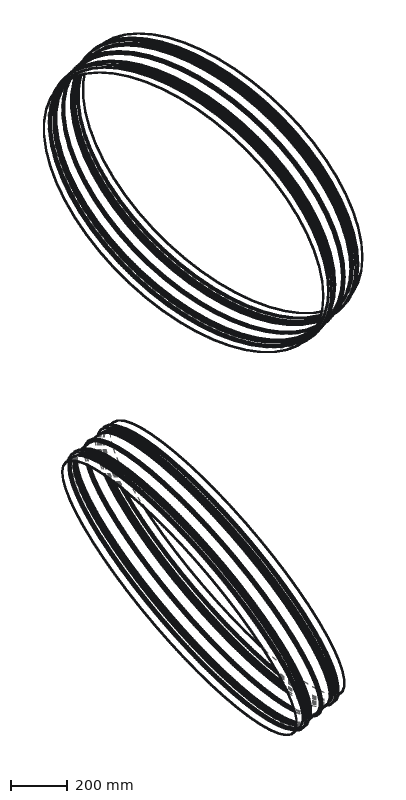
import cadquery as cq
import math

sleeve_length = 225.0
sleeve_radius = 1249.0 / 2
sheet = 0.9

bead_radius = 1263.0 / 2
bead_half_width = 5.0
bead_crown_radius = 4.0

groove_radius = 1239.0 / 2
groove_inner_y = 44.0
groove_outer_y = 84.0
groove_wall_run = 4.0
groove_floor_inner_y = groove_inner_y + groove_wall_run
groove_floor_outer_y = groove_outer_y - groove_wall_run
wall_angle = math.atan2(sleeve_radius - groove_radius, groove_wall_run)

seal_radius = 1266 / 2
seal_base_radius = 1242.0 / 2
seal_toe_radius = 1240.0 / 2
seal_inner_y = 56.0
seal_toe_length = 3.0
lip_thickness = 1.9
lip_centres_y = (62.0, 77.0)


def revolve_about_y(profile):
    """Turn a closed profile drawn with x = radius and y = axial place about the Y axis."""
    return profile.close().revolve(360, (0, 0, 0), (0, 1, 0))


def half_outline(inset):
    """Points (radius, y) from bead crown to +Y end, on the sheet face lying inset below the outer one."""
    plain_radius = sleeve_radius - inset
    floor_radius = groove_radius - inset
    wall_shift = inset * math.tan(wall_angle / 2)
    return [
        (bead_radius - bead_crown_radius, bead_crown_radius - inset),
        (plain_radius, bead_half_width - inset),
        (plain_radius, groove_inner_y - wall_shift),
        (floor_radius, groove_floor_inner_y - wall_shift),
        (floor_radius, groove_floor_outer_y + wall_shift),
        (plain_radius, groove_outer_y + wall_shift),
        (plain_radius, sleeve_length / 2),
    ]


def mirrored(points):
    """The same points on the -Y half, in reverse order."""
    return [(radius, -y) for radius, y in reversed(points)]


def make_sleeve():
    """Thin rolled sheet: plain ends, two seal grooves and a round-topped middle bead."""
    outer_half = half_outline(0)
    inner_half = half_outline(sheet)
    profile = (
        cq.Workplane("XY")
        .polyline(mirrored(outer_half))
        .threePointArc((bead_radius, 0), outer_half[0])
        .polyline(outer_half[1:] + inner_half[::-1], includeCurrent=True)
        .threePointArc((bead_radius - sheet, 0), mirrored(inner_half)[-1])
        .polyline(mirrored(inner_half)[-2::-1], includeCurrent=True)
    )
    return revolve_about_y(profile)


def make_seal(side):
    """Seal in the groove on the given side (+1 or -1): bevelled base strip with two lips."""
    profile = cq.Workplane("XY").moveTo(groove_radius, side * seal_inner_y)
    profile = profile.lineTo(seal_toe_radius, side * seal_inner_y)
    profile = profile.lineTo(seal_base_radius, side * (seal_inner_y + seal_toe_length))
    for lip_y in lip_centres_y:
        near_y = side * (lip_y - lip_thickness / 2)
        far_y = side * (lip_y + lip_thickness / 2)
        profile = (
            profile.lineTo(seal_base_radius, near_y)
            .lineTo(seal_radius, near_y)
            .lineTo(seal_radius, far_y)
            .lineTo(seal_base_radius, far_y)
        )
    profile = profile.lineTo(seal_base_radius, side * groove_floor_outer_y)
    profile = profile.lineTo(groove_radius, side * groove_floor_outer_y)
    return revolve_about_y(profile)


sleeve = make_sleeve()
seals = [make_seal(side) for side in (-1, 1)]

result = cq.Compound.makeCompound([sleeve.val(), *[seal.val() for seal in seals]])